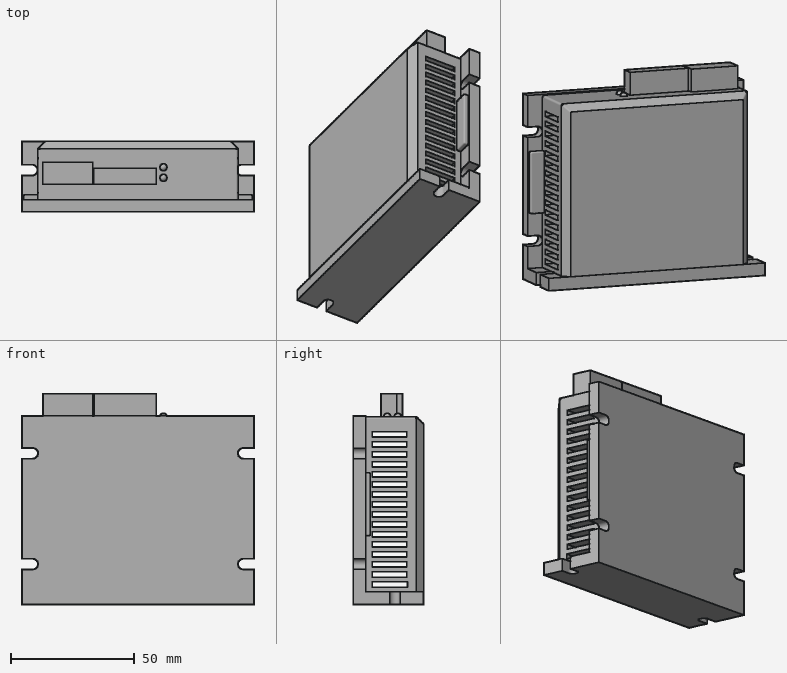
import cadquery as cq

OVERLAP = 1.0

BASE_WIDTH = 94.0
PLATE_HEIGHT = 76.4
PLATE_THICKNESS = 5.0
FOOT_DEPTH = 28.5
FOOT_THICKNESS = 5.2

PLATE_SLOT_WIDTH = 4.2
PLATE_SLOT_DEPTH = 6.5
PLATE_SLOT_HEIGHTS = (16.4, 61.2)
FOOT_SLOT_WIDTH = 4.3
LEFT_FOOT_SLOT_DEPTH = 6.3
RIGHT_FOOT_SLOT_DEPTH = 7.2
FOOT_SLOT_Y = 16.9

COVER_WIDTH = 81.0
COVER_BACK = 28.6
COVER_TOP = 76.0
COVER_EDGE_RADIUS = 0.9
COVER_CHAMFER = 3.0

VENT_COUNT = 16
VENT_PITCH = 4.05
VENT_HEIGHT = 2.05
VENT_FRONT = 7.8
VENT_BACK = 21.6
LOWEST_VENT_Z = 8.15
LOWEST_VENT_EXTRA = 0.3

PAD_WIDTH = 92.6
PAD_BOTTOM = 27.9
PAD_TOP = 53.3
PAD_HEIGHT = 2.0
PAD_CORNER_RADIUS = 0.7
PAD_RIM_RADIUS = 0.6

CONNECTOR_TOP = 85.39
CONNECTOR_FRONT = 11.25
WIDE_CONNECTOR = (-17.8, 7.4, 6.45)
DEEP_CONNECTOR = (-38.5, -18.3, 8.8)

LIGHT_RADIUS = 1.43
LIGHT_X = 10.3
LIGHT_CENTRES_Y = (13.8, 18.05)


def block(x_range, y_range, z_range):
    """Box spanning the given ranges."""
    (x0, x1), (y0, y1), (z0, z1) = x_range, y_range, z_range
    return cq.Workplane("XY").box(x1 - x0, y1 - y0, z1 - z0, centered=False).translate((x0, y0, z0))


def across(width):
    """X range of a body centred on the part."""
    return (-width / 2, width / 2)


def edge_slot(plane, side, centre, width, depth, thickness):
    """Round-ended slot that runs in from the left (-1) or right (+1) edge of the base."""
    edge_x = side * BASE_WIDTH / 2
    return plane.center(edge_x, centre).slot2D(2 * depth, width).extrude(thickness)


def make_base():
    plate = block(across(BASE_WIDTH), (0, PLATE_THICKNESS), (0, PLATE_HEIGHT))
    foot = block(across(BASE_WIDTH), (0, FOOT_DEPTH), (0, FOOT_THICKNESS))
    base = plate.union(foot)
    for side, foot_slot_depth in ((-1, LEFT_FOOT_SLOT_DEPTH), (1, RIGHT_FOOT_SLOT_DEPTH)):
        for height in PLATE_SLOT_HEIGHTS:
            base = base.cut(edge_slot(
                cq.Workplane("XZ"), side, height, PLATE_SLOT_WIDTH, PLATE_SLOT_DEPTH, -PLATE_THICKNESS))
        base = base.cut(edge_slot(
            cq.Workplane("XY"), side, FOOT_SLOT_Y, FOOT_SLOT_WIDTH, foot_slot_depth, FOOT_THICKNESS))
    return base


def make_cover():
    cover = block(across(COVER_WIDTH), (PLATE_THICKNESS, COVER_BACK), (FOOT_THICKNESS, COVER_TOP))
    cover = cover.faces(">Y").edges("not <Z").chamfer(COVER_CHAMFER)
    cover = cover.edges("not (|X or |Z or <Z)").fillet(COVER_EDGE_RADIUS)
    return cover


def make_vents():
    vents = cq.Workplane("XY")
    for index in range(VENT_COUNT):
        bottom = LOWEST_VENT_Z - VENT_HEIGHT / 2 + index * VENT_PITCH
        back = VENT_BACK + (LOWEST_VENT_EXTRA if index == 0 else 0)
        vents = vents.add(block(across(COVER_WIDTH), (VENT_FRONT, back), (bottom, bottom + VENT_HEIGHT)))
    return vents.combine()


def make_pad():
    pad = block(
        across(PAD_WIDTH), (PLATE_THICKNESS - OVERLAP, PLATE_THICKNESS + PAD_HEIGHT), (PAD_BOTTOM, PAD_TOP))
    return pad.edges("|Y").fillet(PAD_CORNER_RADIUS).faces(">Y").edges().fillet(PAD_RIM_RADIUS)


def make_connector(left, right, depth):
    return block(
        (left, right), (CONNECTOR_FRONT, CONNECTOR_FRONT + depth), (COVER_TOP - OVERLAP, CONNECTOR_TOP))


def make_light(y):
    return cq.Workplane("XY").sphere(LIGHT_RADIUS).translate((LIGHT_X, y, COVER_TOP))


result = make_base().union(make_cover()).union(make_pad()).cut(make_vents())
for connector in (DEEP_CONNECTOR, WIDE_CONNECTOR):
    result = result.union(make_connector(*connector))
for light_y in LIGHT_CENTRES_Y:
    result = result.union(make_light(light_y))